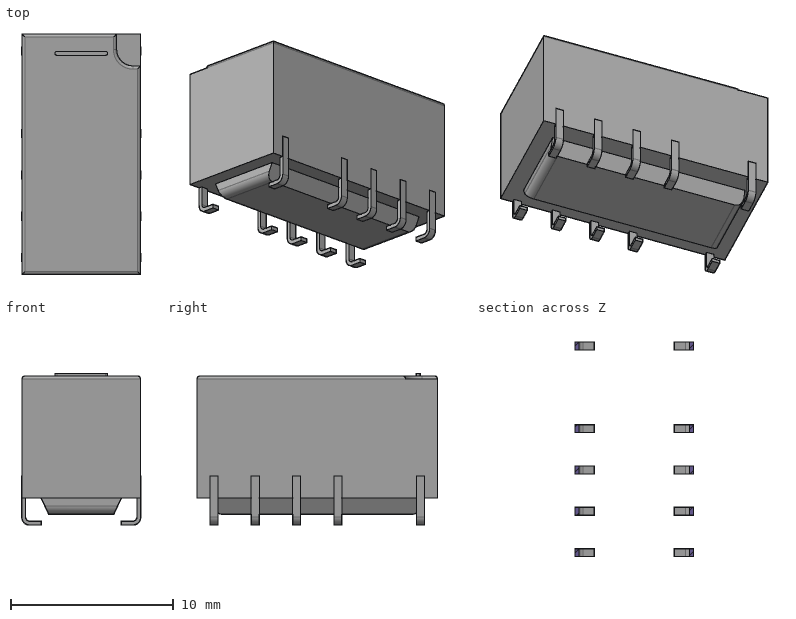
import cadquery as cq

CASE_X = 7.3
CASE_Y = 14.8
CASE_BOTTOM = 1.67
CASE_TOP = 9.18
RIM = 0.2
RIM_CLEARANCE = 0.0002

CORNER_X = 1.47
CORNER_Y = 1.96
CORNER_RADIUS = 1.0

BAR_X = 3.23
BAR_Y = 0.25
BAR_HEIGHT = 0.15
BAR_TO_BACK = 1.19

BASE_TOP_X = 4.95
BASE_BOTTOM_X = 4.0
BASE_Y = 12.7
BASE_HEIGHT = 1.0
BASE_FILLET = 0.5

PIN_SPAN = 7.33
PIN_THICKNESS = 0.25
PIN_WIDTH = 0.5
PIN_TOP = 3.02
PIN_FOOT = 1.22
PIN_BEND = 0.5
PITCH = 2.54
PIN_ROWS = (-2.5, -1.5, -0.5, 0.5, 2.5)


def make_case():
    """Box with a lowered top corner and a rounded rim around the rest of its top face."""
    case = (
        cq.Workplane("XY", origin=(0, 0, CASE_BOTTOM))
        .rect(CASE_X, CASE_Y)
        .extrude(CASE_TOP - CASE_BOTTOM)
    )
    notch = (
        cq.Workplane("XY", origin=(CASE_X / 2, CASE_Y / 2, CASE_TOP - RIM))
        .rect(2 * CORNER_X, 2 * CORNER_Y)
        .extrude(RIM)
        .edges("|Z")
        .fillet(CORNER_RADIUS)
    )
    return case.cut(notch).faces(">Z").edges().fillet(RIM - RIM_CLEARANCE)


def make_bar():
    """Raised bar along X, near the +Y end of the top face."""
    return (
        cq.Workplane("XY", origin=(0, CASE_Y / 2 - BAR_TO_BACK, CASE_TOP))
        .slot2D(BAR_X, BAR_Y)
        .extrude(BAR_HEIGHT)
    )


def make_base():
    """Block that narrows downward, with rounded lower edges at its -Y and +Y ends."""
    base_bottom = CASE_BOTTOM - BASE_HEIGHT
    outline = [
        (-BASE_TOP_X / 2, CASE_BOTTOM),
        (BASE_TOP_X / 2, CASE_BOTTOM),
        (BASE_BOTTOM_X / 2, base_bottom),
        (-BASE_BOTTOM_X / 2, base_bottom),
    ]
    base = cq.Workplane("XZ").polyline(outline).close().extrude(BASE_Y / 2, both=True)
    return base.faces("<Z").edges("|X").fillet(BASE_FILLET)


def make_pin(y):
    """Terminal on the -X side, centred at y, with its foot turned inward."""
    outer = -PIN_SPAN / 2
    inner = outer + PIN_THICKNESS
    leg_and_foot = [
        (outer, 0),
        (outer + PIN_FOOT, 0),
        (outer + PIN_FOOT, PIN_THICKNESS),
        (inner, PIN_THICKNESS),
        (inner, PIN_TOP),
        (outer, PIN_TOP),
    ]
    profile = cq.Workplane("XZ", origin=(0, y, 0)).polyline(leg_and_foot).close()
    pin = profile.extrude(PIN_WIDTH / 2, both=True)
    inner_bend = cq.selectors.NearestToPointSelector((inner, y, PIN_THICKNESS))
    outer_bend = cq.selectors.NearestToPointSelector((outer, y, 0))
    pin = pin.edges(inner_bend).fillet(PIN_BEND - PIN_THICKNESS)
    return pin.edges(outer_bend).fillet(PIN_BEND)


result = make_case().union(make_bar()).union(make_base())
for row in PIN_ROWS:
    pin = make_pin(row * PITCH)
    result = result.union(pin).union(pin.mirror("YZ"))